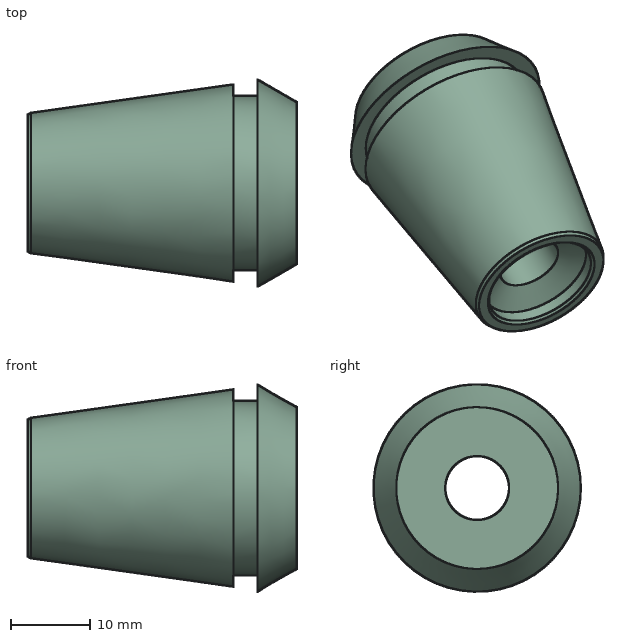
import cadquery as cq
import math

length = 34.0

taper_half_angle = 8.0
taper_end_x = 25.98
taper_large_radius = 12.48
rear_chamfer_length = 0.45
rear_chamfer_depth = 0.25

groove_width = 3.03
groove_radius = 11.05
nose_half_angle = 30.0
nose_large_radius = 13.107

bore_radius = 4.0
counterbore_radius = 7.07
counterbore_depth = 1.85
mouth_chamfer = 0.35
bore_cone_slope_angle = 30.0


def rise(run, angle):
    """Change in radius over an axial run at an angle to the axis."""
    return run * math.tan(math.radians(angle))


def make_body():
    taper_run = taper_end_x - rear_chamfer_length
    taper_small_radius = taper_large_radius - rise(taper_run, taper_half_angle)
    nose_start_x = taper_end_x + groove_width
    nose_small_radius = nose_large_radius - rise(length - nose_start_x, nose_half_angle)
    profile = (
        cq.Workplane("XY")
        .moveTo(0, 0)
        .lineTo(0, taper_small_radius - rear_chamfer_depth)
        .lineTo(rear_chamfer_length, taper_small_radius)
        .lineTo(taper_end_x, taper_large_radius)
        .lineTo(taper_end_x, groove_radius)
        .lineTo(nose_start_x, groove_radius)
        .lineTo(nose_start_x, nose_large_radius)
        .lineTo(length, nose_small_radius)
        .lineTo(length, 0)
        .close()
    )
    return profile.revolve(360, (0, 0, 0), (1, 0, 0))


def make_bore():
    cone_length = rise(counterbore_radius - bore_radius, bore_cone_slope_angle)
    profile = (
        cq.Workplane("XY")
        .moveTo(0, 0)
        .lineTo(0, counterbore_radius + mouth_chamfer)
        .lineTo(mouth_chamfer, counterbore_radius)
        .lineTo(counterbore_depth, counterbore_radius)
        .lineTo(counterbore_depth + cone_length, bore_radius)
        .lineTo(length, bore_radius)
        .lineTo(length, 0)
        .close()
    )
    return profile.revolve(360, (0, 0, 0), (1, 0, 0))


result = make_body().cut(make_bore())